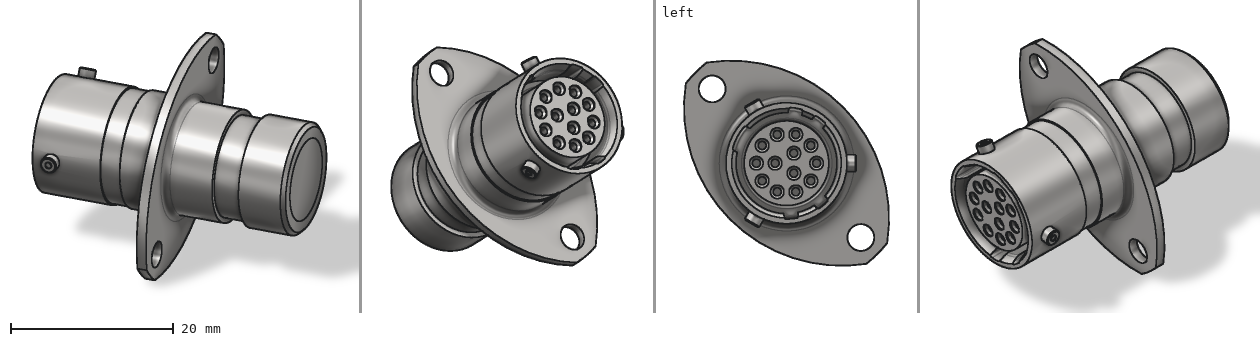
import cadquery as cq
import math

TOTAL_LENGTH = 33.3

FRONT_RADIUS = 7.43
FRONT_GROOVE_RADIUS = 7.23
FRONT_GROOVE_START = 9.0
FRONT_GROOVE_END = 11.6
REAR_RADIUS = 7.1
REAR_GROOVE_RADIUS = 6.43
REAR_GROOVE_START = 23.75
REAR_GROOVE_END = 27.25
REAR_CHAMFER = 0.5

FLANGE_START = 16.0
FLANGE_END = 17.25
FLANGE_ROOT_FILLET = 0.85
FLANGE_SIZE = 25.2
FLANGE_ARC_RADIUS = 19.42
FLANGE_TIP_RADIUS = 15.8
FLANGE_HOLE_OFFSET = 9.13
FLANGE_HOLE_DIAMETER = 3.25

MOUTH_RADIUS = 6.73
FLARE_LENGTH = 1.1
FLARE_END_RADIUS = 6.3
BORE_START = 1.53
BORE_RADIUS = 6.2
SEAL_START = 5.33
SEAL_END = 6.65
SEAL_RADIUS = 6.85
SEAL_EDGE_FILLET = 0.35

MASTER_KEY_ANGLE = 28.0
MASTER_KEY_WIDTH = 3.33
KEY_WIDTH = 1.73
KEY_ANGLES = (71.7, 100.0, 200.5, 237.0)
KEY_FILLET = 0.33

PIN_COUNT = 3
FIRST_PIN_ANGLE = 60.0
PIN_X = 2.55
PIN_RADIUS = 1.03
PIN_SEAT = 6.9
PIN_TIP = 8.55
PIN_CHAMFER = 0.13
PIN_DIMPLE_RADIUS = 0.4
PIN_DIMPLE_DEPTH = 0.13

INSERT_RADIUS = 5.2
INSERT_START = 0.43
OUTER_CONTACT_COUNT = 10
OUTER_CONTACT_CIRCLE = 3.7
INNER_CONTACTS = ((1.4, 0.0), (-0.9, 1.23), (-0.9, -1.23))
CONTACT_MOUTH_RADIUS = 0.83
CONTACT_THROAT_RADIUS = 0.5
CONTACT_FUNNEL_START = 0.2
CONTACT_FUNNEL_END = 0.55
CONTACT_DEPTH = 2.0


def cylinder(start, end, radius):
    """Solid cylinder on the X axis."""
    return cq.Workplane("YZ", origin=(start, 0, 0)).circle(radius).extrude(end - start)


def point_outwards(shape, angle):
    """Turn a shape that points along +Z to an angle measured from +Y towards +Z."""
    return shape.rotate((0, 0, 0), (1, 0, 0), angle - 90)


def shell_barrel():
    """Turned outside of the shell, with concave fillets running up to the flange."""
    fillet_sagitta = FLANGE_ROOT_FILLET * math.sqrt(0.5)
    front_fillet_center = (FLANGE_START - FLANGE_ROOT_FILLET, FRONT_RADIUS + FLANGE_ROOT_FILLET)
    rear_fillet_center = (FLANGE_END + FLANGE_ROOT_FILLET, REAR_RADIUS + FLANGE_ROOT_FILLET)
    return (
        cq.Workplane("XY")
        .lineTo(0, FRONT_RADIUS)
        .lineTo(FRONT_GROOVE_START, FRONT_RADIUS)
        .lineTo(FRONT_GROOVE_START, FRONT_GROOVE_RADIUS)
        .lineTo(FRONT_GROOVE_END, FRONT_GROOVE_RADIUS)
        .lineTo(FRONT_GROOVE_END, FRONT_RADIUS)
        .lineTo(front_fillet_center[0], FRONT_RADIUS)
        .threePointArc(
            (front_fillet_center[0] + fillet_sagitta, front_fillet_center[1] - fillet_sagitta),
            (FLANGE_START, front_fillet_center[1]),
        )
        .lineTo(FLANGE_END, front_fillet_center[1])
        .lineTo(FLANGE_END, rear_fillet_center[1])
        .threePointArc(
            (rear_fillet_center[0] - fillet_sagitta, rear_fillet_center[1] - fillet_sagitta),
            (rear_fillet_center[0], REAR_RADIUS),
        )
        .lineTo(REAR_GROOVE_START, REAR_RADIUS)
        .lineTo(REAR_GROOVE_START, REAR_GROOVE_RADIUS)
        .lineTo(REAR_GROOVE_END, REAR_GROOVE_RADIUS)
        .lineTo(REAR_GROOVE_END, REAR_RADIUS)
        .lineTo(TOTAL_LENGTH - REAR_CHAMFER, REAR_RADIUS)
        .lineTo(TOTAL_LENGTH, REAR_RADIUS - REAR_CHAMFER)
        .lineTo(TOTAL_LENGTH, 0)
        .close()
        .revolve(360, (0, 0, 0), (1, 0, 0))
    )


def flange():
    """Overlap of two large discs, trimmed round at both tips and drilled twice."""
    thickness = FLANGE_END - FLANGE_START
    arc_center = FLANGE_ARC_RADIUS - FLANGE_SIZE / 2
    base = cq.Workplane("YZ", origin=(FLANGE_START, 0, 0))
    disc_a = base.center(arc_center, -arc_center).circle(FLANGE_ARC_RADIUS).extrude(thickness)
    disc_b = base.center(-arc_center, arc_center).circle(FLANGE_ARC_RADIUS).extrude(thickness)
    tip_limit = cylinder(FLANGE_START, FLANGE_END, FLANGE_TIP_RADIUS)
    holes = (
        base.pushPoints([(side * FLANGE_HOLE_OFFSET, side * FLANGE_HOLE_OFFSET) for side in (-1, 1)])
        .circle(FLANGE_HOLE_DIAMETER / 2)
        .extrude(thickness)
    )
    return disc_a.intersect(disc_b).intersect(tip_limit).cut(holes)


def shell_cavity():
    """Flared mouth, bore, seal seat and insert bore as one turned cutter."""
    return (
        cq.Workplane("XY")
        .lineTo(0, MOUTH_RADIUS)
        .lineTo(FLARE_LENGTH, FLARE_END_RADIUS)
        .lineTo(BORE_START, BORE_RADIUS)
        .lineTo(SEAL_START, BORE_RADIUS)
        .lineTo(SEAL_START, SEAL_RADIUS)
        .lineTo(SEAL_END, SEAL_RADIUS)
        .lineTo(SEAL_END, INSERT_RADIUS)
        .lineTo(TOTAL_LENGTH, INSERT_RADIUS)
        .lineTo(TOTAL_LENGTH, 0)
        .close()
        .revolve(360, (0, 0, 0), (1, 0, 0))
    )


def keyway(width, angle):
    """Cutter for one keyway from the mouth to the seal, with rounded floor corners."""
    bar = (
        cq.Workplane("YZ")
        .center(0, (SEAL_RADIUS + INSERT_RADIUS) / 2)
        .rect(width, SEAL_RADIUS - INSERT_RADIUS)
        .extrude(SEAL_START)
        .intersect(cylinder(0, SEAL_START, SEAL_RADIUS))
    )
    rounded = bar.edges("|X").edges(">Z").fillet(KEY_FILLET)
    return point_outwards(rounded, angle)


def upright_pin():
    """Plain pin cylinder pointing along +Z."""
    return cq.Workplane("XY", origin=(PIN_X, 0, PIN_SEAT)).circle(PIN_RADIUS).extrude(PIN_TIP - PIN_SEAT)


def make_shell(pin_angles):
    body = shell_barrel().union(flange()).cut(shell_cavity())
    body = body.cut(keyway(MASTER_KEY_WIDTH, MASTER_KEY_ANGLE))
    for angle in KEY_ANGLES:
        body = body.cut(keyway(KEY_WIDTH, MASTER_KEY_ANGLE + angle))
    for angle in pin_angles:
        body = body.cut(point_outwards(upright_pin(), angle))
    return body


def make_bayonet_pin(angle):
    """Pin with a chamfered tip and a shallow round dimple."""
    pin = (
        upright_pin()
        .faces(">Z")
        .chamfer(PIN_CHAMFER)
        .faces(">Z")
        .workplane()
        .circle(PIN_DIMPLE_RADIUS)
        .cutBlind(-PIN_DIMPLE_DEPTH)
    )
    return point_outwards(pin, angle)


def make_seal():
    """Ring around the insert with both front edges rounded."""
    ring = cylinder(SEAL_START, SEAL_END, SEAL_RADIUS).cut(cylinder(SEAL_START, SEAL_END, INSERT_RADIUS))
    return ring.faces("<X").edges().fillet(SEAL_EDGE_FILLET)


def contact_hole():
    """Blind hole cutter that narrows through a funnel, with its mouth at the origin."""
    return (
        cq.Workplane("XY")
        .lineTo(0, CONTACT_MOUTH_RADIUS)
        .lineTo(CONTACT_FUNNEL_START, CONTACT_MOUTH_RADIUS)
        .lineTo(CONTACT_FUNNEL_END, CONTACT_THROAT_RADIUS)
        .lineTo(CONTACT_DEPTH, CONTACT_THROAT_RADIUS)
        .lineTo(CONTACT_DEPTH, 0)
        .close()
        .revolve(360, (0, 0, 0), (1, 0, 0))
    )


def make_insert():
    body = cylinder(INSERT_START, TOTAL_LENGTH, INSERT_RADIUS)
    contacts = list(INNER_CONTACTS)
    for i in range(OUTER_CONTACT_COUNT):
        angle = 2 * math.pi * i / OUTER_CONTACT_COUNT
        contacts.append((OUTER_CONTACT_CIRCLE * math.cos(angle), OUTER_CONTACT_CIRCLE * math.sin(angle)))
    hole = contact_hole()
    for y, z in contacts:
        body = body.cut(hole.translate((INSERT_START, y, z)))
    return body


pin_angles = [FIRST_PIN_ANGLE + 360 / PIN_COUNT * i for i in range(PIN_COUNT)]
shell = make_shell(pin_angles)
pins = [make_bayonet_pin(angle) for angle in pin_angles]
seal = make_seal()
insert = make_insert()

result = cq.Compound.makeCompound([shell.val(), seal.val(), insert.val(), *[pin.val() for pin in pins]])